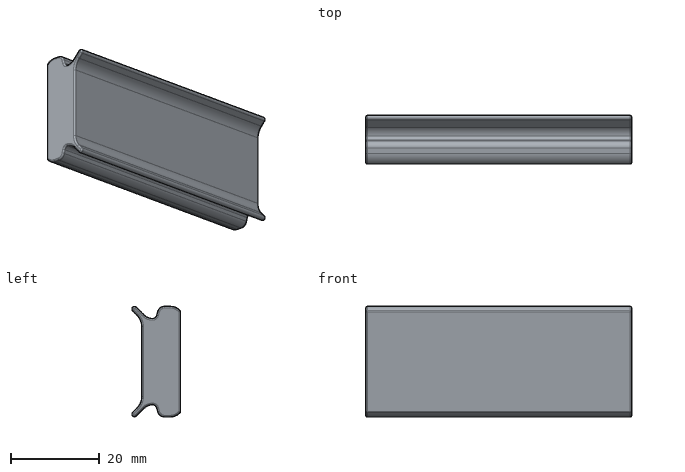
import cadquery as cq
import math

LENGTH = 60.0
DEPTH = 11.0
HEIGHT = 25.0

BODY_DEPTH = 8.8
LIP_FLAT_START = 2.35
LIP_FLAT_WIDTH = 1.25
LIP_FRONT_RADIUS = 3.0
LIP_REAR_RADIUS = 1.65

GROOVE_DEPTH = 2.75
GROOVE_WALL_TILT = 15.0
GROOVE_LIP_RADIUS = 0.95
GROOVE_FIN_RADIUS = 2.7

FIN_TIP_RADIUS = 0.6
FIN_BACK_RADIUS = 3.6
DIAGONAL = math.sqrt(0.5)
UPPER_FLANK_NORMAL = 135
LOWER_FLANK_NORMAL = -45

EDGE_FILLET = 0.4

front_y = -DEPTH / 2
back_y = front_y + BODY_DEPTH
top_z = HEIGHT / 2
lip_front_y = front_y + LIP_FLAT_START
lip_rear_y = lip_front_y + LIP_FLAT_WIDTH
wall_tilt = math.radians(GROOVE_WALL_TILT)
wall_radii = LIP_REAR_RADIUS + GROOVE_LIP_RADIUS
wall_length = (GROOVE_DEPTH - wall_radii * (1 - math.sin(wall_tilt))) / math.cos(wall_tilt)
groove_y = lip_rear_y + wall_radii * math.cos(wall_tilt) + wall_length * math.sin(wall_tilt)
groove_z = top_z - GROOVE_DEPTH


def on_arc(center, radius, degrees):
    """Point on a circle in the YZ plane, angle measured from +Y towards +Z."""
    angle = math.radians(degrees)
    return (center[0] + radius * math.cos(angle), center[1] + radius * math.sin(angle))


def upper_half_profile():
    """Closed YZ outline of the half of the section above Z = 0."""
    lip_front = (lip_front_y, top_z - LIP_FRONT_RADIUS)
    lip_rear = (lip_rear_y, top_z - LIP_REAR_RADIUS)
    groove_lip = (groove_y, groove_z + GROOVE_LIP_RADIUS)
    groove_fin = (groove_y, groove_z + GROOVE_FIN_RADIUS)

    tip_y = DEPTH / 2 - FIN_TIP_RADIUS
    flank_offset = (GROOVE_FIN_RADIUS + FIN_TIP_RADIUS) / DIAGONAL
    tip = (tip_y, groove_fin[1] + tip_y - groove_fin[0] - flank_offset)

    blend_y = back_y + FIN_BACK_RADIUS
    blend_offset = (FIN_BACK_RADIUS + FIN_TIP_RADIUS) / DIAGONAL
    blend = (blend_y, tip[1] + blend_y - tip[0] - blend_offset)

    corner_angle = math.degrees(math.acos((front_y - lip_front_y) / LIP_FRONT_RADIUS))
    front_middle_angle = (corner_angle + 90) / 2
    rear_middle_angle = (90 + GROOVE_WALL_TILT) / 2
    groove_middle_angle = (270 + UPPER_FLANK_NORMAL + 180) / 2
    tip_middle_angle = (UPPER_FLANK_NORMAL + LOWER_FLANK_NORMAL) / 2
    blend_middle_angle = (LOWER_FLANK_NORMAL + 180 + 180) / 2

    return (
        cq.Workplane("YZ")
        .moveTo(front_y, 0)
        .lineTo(*on_arc(lip_front, LIP_FRONT_RADIUS, corner_angle))
        .threePointArc(
            on_arc(lip_front, LIP_FRONT_RADIUS, front_middle_angle),
            (lip_front_y, top_z),
        )
        .lineTo(lip_rear_y, top_z)
        .threePointArc(
            on_arc(lip_rear, LIP_REAR_RADIUS, rear_middle_angle),
            on_arc(lip_rear, LIP_REAR_RADIUS, GROOVE_WALL_TILT),
        )
        .lineTo(*on_arc(groove_lip, GROOVE_LIP_RADIUS, 180 + GROOVE_WALL_TILT))
        .threePointArc(
            on_arc(groove_lip, GROOVE_LIP_RADIUS, 180 + rear_middle_angle),
            (groove_y, groove_z),
        )
        .threePointArc(
            on_arc(groove_fin, GROOVE_FIN_RADIUS, groove_middle_angle),
            on_arc(groove_fin, GROOVE_FIN_RADIUS, UPPER_FLANK_NORMAL + 180),
        )
        .lineTo(*on_arc(tip, FIN_TIP_RADIUS, UPPER_FLANK_NORMAL))
        .threePointArc(
            on_arc(tip, FIN_TIP_RADIUS, tip_middle_angle),
            on_arc(tip, FIN_TIP_RADIUS, LOWER_FLANK_NORMAL),
        )
        .lineTo(*on_arc(blend, FIN_BACK_RADIUS, LOWER_FLANK_NORMAL + 180))
        .threePointArc(
            on_arc(blend, FIN_BACK_RADIUS, blend_middle_angle),
            (back_y, blend[1]),
        )
        .lineTo(back_y, 0)
        .close()
    )


def bar():
    """Full section, symmetric about Z = 0, extruded along X."""
    upper = upper_half_profile().extrude(LENGTH / 2, both=True)
    return upper.union(upper.mirror("XY")).clean()


def round_edges(body):
    """Round both end outlines and the border of the front face."""
    return body.faces("<X or >X or <Y").edges().fillet(EDGE_FILLET)


result = round_edges(bar())